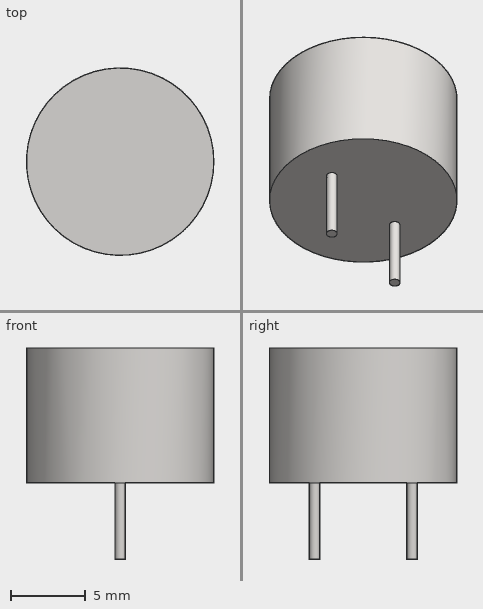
import cadquery as cq

total_height = 14.1
housing_diameter = 12.5
housing_height = 9.0
pin_diameter = 0.7
pin_spacing = 6.5

pin_length = total_height - housing_height


def make_housing():
    """Plain round housing standing on its underside."""
    return cq.Workplane("XY").circle(housing_diameter / 2).extrude(housing_height)


def make_pin(y_position):
    """Round lead hanging down from the underside of the housing."""
    return (
        cq.Workplane("XY")
        .center(0, y_position)
        .circle(pin_diameter / 2)
        .extrude(-pin_length)
    )


housing = make_housing()

pins = []
for side in (-1, 1):
    pins.append(make_pin(side * pin_spacing / 2))

result = cq.Compound.makeCompound([housing.val(), *[pin.val() for pin in pins]])